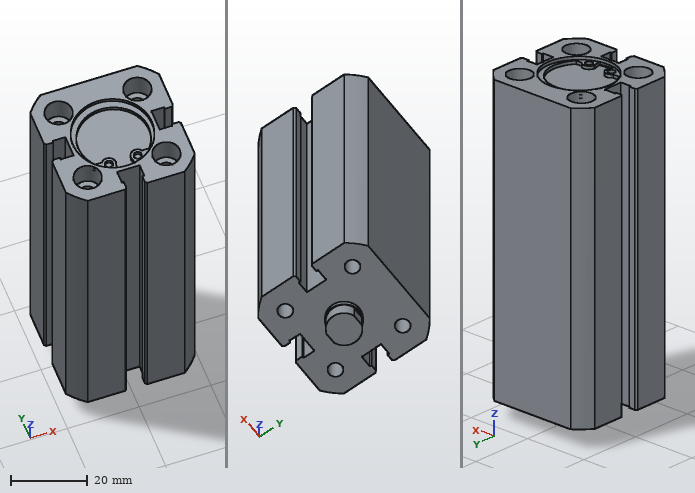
import cadquery as cq
import math

TOTAL_HEIGHT = 98.0
HOUSING_WIDTH = 36.0
CORNER_DIAMETER = 45.0

HOLE_SPACING = 22.0
HOLE_DIAMETER = 4.1
COUNTERBORE_DIAMETER = 7.4
COUNTERBORE_DEPTH = 7.0

SLOT_MOUTH_WIDTH = 5.2
SLOT_INNER_WIDTH = 6.3
SLOT_LIP_DEPTH = 2.45
SLOT_DEPTH = 6.0
SLOT_EDGE_CHAMFER = 0.5

BORE_DIAMETER = 22.0
COVER_THICKNESS = 9.8

RING_GROOVE_DIAMETER = 23.0
RING_RECESS = 1.0
RING_THICKNESS = 1.0
RING_INNER_DIAMETER = 19.6
RING_ECCENTRICITY = 0.9
LUG_FLAT_OFFSET = 7.2
LUG_HOLE_X = 4.0
LUG_HOLE_Y = -8.2
LUG_DIAMETER = 3.8
LUG_HOLE_DIAMETER = 2.2

ROD_DIAMETER = 10.0
ROD_COLLAR_LENGTH = 1.5
ROD_TIP_DIAMETER = 9.6
ROD_TIP_LENGTH = 4.5
ROD_FLATS_WIDTH = 9.0
ROD_FLATS_LENGTH = 4.2

HOUSING_BOTTOM = ROD_TIP_LENGTH + ROD_COLLAR_LENGTH
HOUSING_HEIGHT = TOTAL_HEIGHT - HOUSING_BOTTOM
RING_TOP = TOTAL_HEIGHT - RING_RECESS
COVER_TOP = RING_TOP - RING_THICKNESS
BORE_FLOOR = COVER_TOP - COVER_THICKNESS


def cylinder(diameter, bottom, top, center=(0, 0)):
    """Upright cylinder between two levels."""
    return (
        cq.Workplane("XY", origin=(center[0], center[1], bottom))
        .circle(diameter / 2)
        .extrude(top - bottom)
    )


def make_slot(angle):
    """Cutter for the undercut slot of the -Y side, turned about Z by an angle."""
    face = -HOUSING_WIDTH / 2
    lip = face + SLOT_LIP_DEPTH
    floor = face + SLOT_DEPTH
    mouth = SLOT_MOUTH_WIDTH / 2
    flared_mouth = mouth + SLOT_EDGE_CHAMFER
    edge_end = face + SLOT_EDGE_CHAMFER
    inner = SLOT_INNER_WIDTH / 2
    return (
        cq.Workplane("XY", origin=(0, 0, HOUSING_BOTTOM))
        .moveTo(-flared_mouth, face)
        .lineTo(-mouth, edge_end)
        .lineTo(-mouth, lip)
        .lineTo(-inner, lip)
        .lineTo(-inner, floor)
        .lineTo(inner, floor)
        .lineTo(inner, lip)
        .lineTo(mouth, lip)
        .lineTo(mouth, edge_end)
        .lineTo(flared_mouth, face)
        .close()
        .extrude(HOUSING_HEIGHT)
        .rotate((0, 0, 0), (0, 0, 1), angle)
    )


def make_housing():
    """Extruded body with slots, mounting holes, grooved bore and rod hole."""
    body = (
        cq.Workplane("XY", origin=(0, 0, HOUSING_BOTTOM))
        .rect(HOUSING_WIDTH, HOUSING_WIDTH)
        .extrude(HOUSING_HEIGHT)
        .intersect(cylinder(CORNER_DIAMETER, HOUSING_BOTTOM, TOTAL_HEIGHT))
    )
    for angle in (0, 90, -90):
        body = body.cut(make_slot(angle))
    body = (
        body.faces(">Z").workplane(origin=(0, 0, TOTAL_HEIGHT))
        .rect(HOLE_SPACING, HOLE_SPACING, forConstruction=True)
        .vertices()
        .cboreHole(HOLE_DIAMETER, COUNTERBORE_DIAMETER, COUNTERBORE_DEPTH)
    )
    body = body.cut(cylinder(BORE_DIAMETER, BORE_FLOOR, TOTAL_HEIGHT))
    body = body.cut(cylinder(RING_GROOVE_DIAMETER, COVER_TOP, RING_TOP))
    return body.cut(cylinder(ROD_DIAMETER, HOUSING_BOTTOM, BORE_FLOOR))


def make_end_cover():
    """Plain disc that closes the bore under the retaining ring."""
    return cylinder(BORE_DIAMETER, BORE_FLOOR, COVER_TOP)


def make_retaining_ring():
    """Eccentric open ring, seated in its groove, with two eyed lugs beside a gap on the -Y side."""
    disc = cylinder(RING_GROOVE_DIAMETER, COVER_TOP, RING_TOP)

    opening = cylinder(RING_INNER_DIAMETER, COVER_TOP, RING_TOP, (0, -RING_ECCENTRICITY))
    below_flats = (
        cq.Workplane("XY", origin=(0, -LUG_FLAT_OFFSET - BORE_DIAMETER / 2, COVER_TOP))
        .rect(BORE_DIAMETER, BORE_DIAMETER)
        .extrude(RING_THICKNESS)
    )
    ring = disc.cut(opening.cut(below_flats))

    lug_distance = math.hypot(LUG_HOLE_X, LUG_HOLE_Y)
    lug_angle = math.atan2(LUG_HOLE_X, -LUG_HOLE_Y)
    gap_half_angle = lug_angle - math.asin(LUG_DIAMETER / 2 / lug_distance)
    gap_half_width = BORE_DIAMETER * math.tan(gap_half_angle)
    gap = (
        cq.Workplane("XY", origin=(0, 0, COVER_TOP))
        .polyline([(0, 0), (-gap_half_width, -BORE_DIAMETER), (gap_half_width, -BORE_DIAMETER)])
        .close()
        .extrude(RING_THICKNESS)
    )
    between_lugs = (
        cq.Workplane("XY", origin=(0, (LUG_HOLE_Y - LUG_FLAT_OFFSET) / 2, COVER_TOP))
        .rect(2 * LUG_HOLE_X, -LUG_HOLE_Y - LUG_FLAT_OFFSET)
        .extrude(RING_THICKNESS)
    )
    ring = ring.cut(gap).cut(between_lugs)

    for side in (-1, 1):
        center = (side * LUG_HOLE_X, LUG_HOLE_Y)
        ring = ring.union(cylinder(LUG_DIAMETER, COVER_TOP, RING_TOP, center))
        ring = ring.cut(cylinder(LUG_HOLE_DIAMETER, COVER_TOP, RING_TOP, center))
    return ring


def make_rod():
    """Stepped rod from the end cover down through the housing, with a flatted tip."""
    shaft = cylinder(ROD_DIAMETER, ROD_TIP_LENGTH, BORE_FLOOR)
    tip = cylinder(ROD_TIP_DIAMETER, 0, ROD_TIP_LENGTH)
    across_flats = (
        cq.Workplane("XY")
        .rect(ROD_DIAMETER, ROD_FLATS_WIDTH)
        .extrude(ROD_FLATS_LENGTH)
    )
    round_neck = cylinder(ROD_TIP_DIAMETER, ROD_FLATS_LENGTH, ROD_TIP_LENGTH)
    return shaft.union(tip.intersect(across_flats.union(round_neck)))


housing = make_housing()
end_cover = make_end_cover()
retaining_ring = make_retaining_ring()
rod = make_rod()

result = cq.Compound.makeCompound([housing.val(), end_cover.val(), retaining_ring.val(), rod.val()])